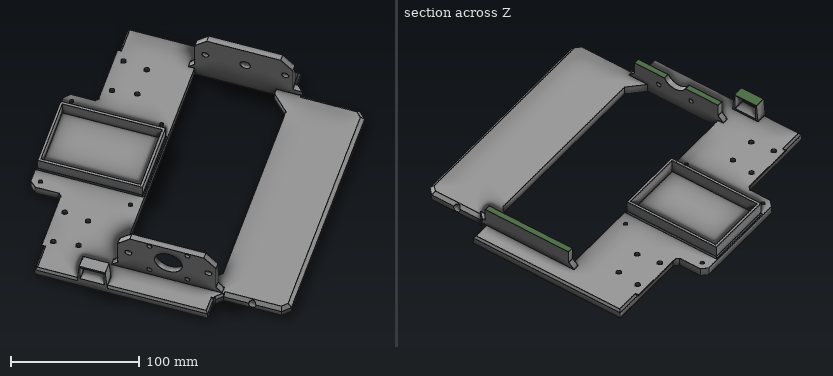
import cadquery as cq
length = 230.0
width = 242.0
height = 48.0
plate_thickness = 7.7

tab_half_width = 46.7
tab_corner = 4.8
tab_root_x = 24.7

wing_left_x = 28.3
wing_right_x = 169.6
wing_bevel_width = 1.7
wing_bevel_height = 2.0
root_chamfer = wing_left_x - tab_root_x
lip_end_y = 98.3

deck_half_width = 101.0
deck_corner = 6.0
deck_bevel_width = 3.1
deck_bevel_height = 2.7
neck_start_x = 171.3
neck_run = 5.0

window_left_x = 89.3
window_back_y = 99.5
window_front_y = -94.1
window_neck_x = 156.0
window_neck_run = wing_right_x - window_neck_x
window_corner_y = 81.3

bracket_left_x = 89.3
bracket_right_x = 169.6
bracket_chamfer = 10.0
back_bracket_thickness = 5.5
front_bracket_thickness = 5.3
foot = 5.0
foot_top = plate_thickness + foot
bore_x = 130.7
bore_z = 29.3
shaft_diameter = 8.5
motor_bore_diameter = 22.5
ear_spacing = 65.3
ear_diameter = 5.5
screw_pitch = 31.0
screw_diameter = 4.0

tray_left_x = 1.7
tray_right_x = 87.5
tray_half_width = 29.8
tray_top = 19.5
tray_wall = 2.2
flare_width = 0.7
flare_height = 1.5

clip_x = 75.3
clip_base_length = 24.7
clip_top_length = 21.3
clip_depth = 10.0
clip_top = 25.7
clip_roof = 2.0
clip_opening_length = 19.5
clip_floor = 9.5

hole_centre_y = -1.5
mount_diameter = 4.0
mount_positions = [(34.4, 61.2), (34.4, 90.8), (54.2, 64.0), (54.2, 88.3)]
tray_hole_diameter = 3.1
tray_hole_xs = (7.5, 81.0)
tray_hole_half_pitch = 40.5
cross_hole_x = 199.6
cross_hole_z = 4.0
cross_hole_diameter = 6.0


def prism(points, bottom, top):
    """Solid over an XY outline between two heights."""
    return cq.Workplane("XY").workplane(offset=bottom).polyline(points).close().extrude(top - bottom)


def along_y(points, y_min, y_max):
    """Solid over an XZ outline between two Y positions."""
    return cq.Workplane("XZ", origin=(0, y_min, 0)).polyline(points).close().extrude(y_min - y_max)


def cross_bore(x, z, diameter, y_min, y_max):
    """Cylinder along Y."""
    return cq.Workplane("XZ", origin=(x, y_min, z)).circle(diameter / 2).extrude(y_min - y_max)


def block(x_min, x_max, y_min, y_max, z_min, z_max):
    """Box between two corners."""
    box = cq.Workplane("XY").box(x_max - x_min, y_max - y_min, z_max - z_min, centered=False)
    return box.translate((x_min, y_min, z_min))


def trim_bevel(solid, start, end, bevel_width, bevel_height):
    """Bevel the plate's upper rim along a straight side; the material lies left of start -> end."""
    span = cq.Vector(end[0] - start[0], end[1] - start[1], 0)
    inward = cq.Vector(-span.y, span.x, 0)
    side = cq.Plane(origin=(start[0], start[1], plate_thickness), xDir=inward, normal=span)
    profile = [(0, 0), (bevel_width, 0), (0, -bevel_height)]
    if side.yDir.z < 0:
        profile = [(u, -v) for u, v in profile]
    return solid.cut(cq.Workplane(side).polyline(profile).close().extrude(span.Length))


def mirrored(points):
    """Outline from its front half, reflected about Y = 0."""
    return points + [(x, -y) for x, y in reversed(points)]


def make_plate():
    """Tab, wings and deck in one plate, with the upper rim of wings and deck bevelled."""
    half_width = width / 2
    neck_y = deck_half_width + neck_run
    neck_end_x = neck_start_x + neck_run
    front_half = [
        (0, -tab_half_width + tab_corner),
        (tab_corner, -tab_half_width),
        (tab_root_x, -tab_half_width),
        (wing_left_x, -tab_half_width - root_chamfer),
        (wing_left_x, -half_width),
        (wing_right_x, -half_width),
        (wing_right_x, -neck_y),
        (neck_start_x, -neck_y),
        (neck_end_x, -deck_half_width),
        (length - deck_corner, -deck_half_width),
        (length, -deck_half_width + deck_corner),
    ]
    plate = prism(mirrored(front_half), 0, plate_thickness)

    wing_rim = [
        (wing_left_x, -lip_end_y),
        (wing_left_x, -half_width),
        (wing_right_x, -half_width),
        (wing_right_x, -neck_y),
    ]
    neck_rim = [(neck_start_x, -neck_y), (neck_end_x, -deck_half_width)]
    deck_rim = [
        (neck_end_x, -deck_half_width),
        (length - deck_corner, -deck_half_width),
        (length, -deck_half_width + deck_corner),
        (length, deck_half_width - deck_corner),
    ]
    bevels = (
        (wing_rim, wing_bevel_width, wing_bevel_height),
        (neck_rim, wing_bevel_width, wing_bevel_height),
        (deck_rim, deck_bevel_width, deck_bevel_height),
    )
    for rim, bevel_width, bevel_height in bevels:
        for start, end in zip(rim, rim[1:]):
            plate = trim_bevel(plate, start, end, bevel_width, bevel_height)
            plate = trim_bevel(plate, (end[0], -end[1]), (start[0], -start[1]), bevel_width, bevel_height)
    return plate


def make_lips():
    """Flared upper edge of the left wall, between the tab and each wing's bevel."""
    profile = [
        (wing_left_x, plate_thickness - wing_bevel_height),
        (wing_left_x - wing_bevel_width, plate_thickness),
        (wing_left_x, plate_thickness),
    ]
    return along_y(profile, -lip_end_y, -tab_half_width).union(along_y(profile, tab_half_width, lip_end_y))


def make_window():
    """Opening between the wings, with slanted corners on the deck side."""
    outline = [
        (window_left_x, window_front_y),
        (wing_right_x + window_corner_y + window_front_y, window_front_y),
        (wing_right_x, -window_corner_y),
        (wing_right_x, window_corner_y),
        (window_neck_x, window_corner_y + window_neck_run),
        (window_neck_x, window_back_y),
        (window_left_x, window_back_y),
    ]
    return prism(outline, 0, plate_thickness)


def bracket_body(y_min, y_max):
    """Upright with chamfered top corners and a sloped foot at both ends."""
    outline = [
        (bracket_left_x - foot, plate_thickness),
        (bracket_left_x, foot_top),
        (bracket_left_x, height - bracket_chamfer),
        (bracket_left_x + bracket_chamfer, height),
        (bracket_right_x - bracket_chamfer, height),
        (bracket_right_x, height - bracket_chamfer),
        (bracket_right_x, foot_top),
        (bracket_right_x + foot, plate_thickness),
    ]
    body = along_y(outline, y_min, y_max)
    for side in (-1, 1):
        ear_x = bore_x + side * ear_spacing / 2
        body = body.cut(cross_bore(ear_x, bore_z, ear_diameter, y_min, y_max))
    return body


def make_front_bracket():
    """Motor side: large bore inside a square of four screw holes."""
    y_min = window_front_y - front_bracket_thickness
    y_max = window_front_y
    bracket = bracket_body(y_min, y_max)
    bracket = bracket.cut(cross_bore(bore_x, bore_z, motor_bore_diameter, y_min, y_max))
    for dx in (-screw_pitch / 2, screw_pitch / 2):
        for dz in (-screw_pitch / 2, screw_pitch / 2):
            bracket = bracket.cut(cross_bore(bore_x + dx, bore_z + dz, screw_diameter, y_min, y_max))
    return bracket


def make_back_bracket():
    """Shaft side: small bore, and a flat-topped right foot cut off along the neck."""
    y_min = window_back_y
    y_max = window_back_y + back_bracket_thickness
    neck_sum = neck_start_x + neck_run + deck_half_width
    right_foot = [
        (bracket_right_x, y_min),
        (neck_sum - y_min, y_min),
        (neck_sum - y_max, y_max),
        (bracket_right_x, y_max),
    ]
    bracket = bracket_body(y_min, y_max)
    bracket = bracket.cut(cross_bore(bore_x, bore_z, shaft_diameter, y_min, y_max))
    return bracket.union(prism(right_foot, plate_thickness, foot_top))


def make_tray():
    """Open tray standing on a flared base."""
    base_length = tray_right_x - tray_left_x
    base_width = 2 * tray_half_width
    centre_x = (tray_left_x + tray_right_x) / 2
    flare = (
        cq.Workplane("XY", origin=(centre_x, 0, plate_thickness))
        .rect(base_length + 2 * flare_width, base_width + 2 * flare_width)
        .workplane(offset=flare_height)
        .rect(base_length, base_width)
        .loft()
    )
    shell = cq.Workplane("XY", origin=(centre_x, 0, plate_thickness)).rect(base_length, base_width)
    shell = shell.extrude(tray_top - plate_thickness)
    cavity = cq.Workplane("XY", origin=(centre_x, 0, plate_thickness))
    cavity = cavity.rect(base_length - 2 * tray_wall, base_width - 2 * tray_wall)
    return flare.union(shell).cut(cavity.extrude(tray_top - plate_thickness))


def make_clip():
    """Tapered loop, open along Y, flush with the front wall."""
    y_min = -width / 2
    y_max = y_min + clip_depth
    base_z = plate_thickness - wing_bevel_height
    outline = [
        (clip_x - clip_base_length / 2, base_z),
        (clip_x + clip_base_length / 2, base_z),
        (clip_x + clip_top_length / 2, clip_top),
        (clip_x - clip_top_length / 2, clip_top),
    ]
    opening_left = clip_x - clip_opening_length / 2
    opening_right = clip_x + clip_opening_length / 2
    opening = block(opening_left, opening_right, y_min, y_max, clip_floor, clip_top - clip_roof)
    return along_y(outline, y_min, y_max).cut(opening)


def make_plate_holes():
    """Mounting holes, tray screw holes and the bore that crosses the deck along Y."""
    mounts = [(x, hole_centre_y + side * y) for x, y in mount_positions for side in (-1, 1)]
    tray_screws = [(x, side * tray_hole_half_pitch) for x in tray_hole_xs for side in (-1, 1)]
    holes = cq.Workplane("XY").pushPoints(mounts).circle(mount_diameter / 2).extrude(plate_thickness)
    small = cq.Workplane("XY").pushPoints(tray_screws).circle(tray_hole_diameter / 2)
    cross = cross_bore(cross_hole_x, cross_hole_z, cross_hole_diameter, -deck_half_width, deck_half_width)
    return holes.union(small.extrude(plate_thickness)).union(cross)


result = make_plate().union(make_lips()).cut(make_window()).cut(make_plate_holes())
for addition in (make_front_bracket(), make_back_bracket(), make_tray(), make_clip()):
    result = result.union(addition)